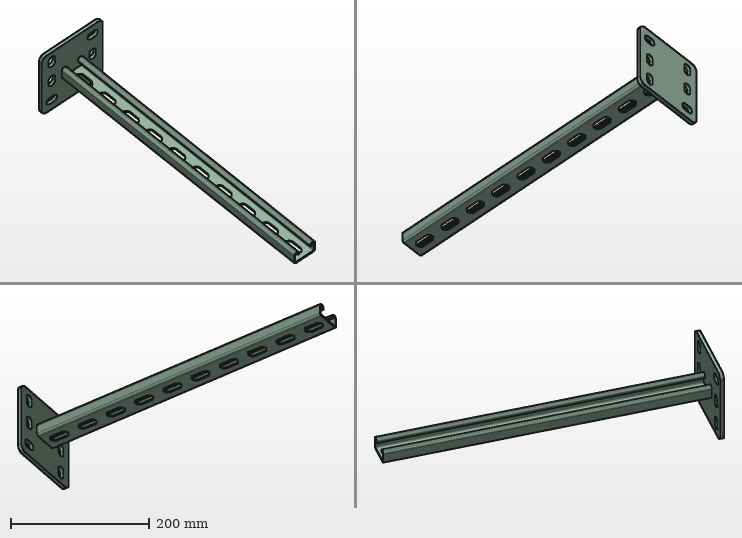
import cadquery as cq

total_length = 506.0

plate_side = 120.0
plate_thickness = 6.0
plate_corner_radius = 10.0
plate_slot_length = 20.0
plate_slot_width = 12.5
plate_slot_column_spacing = 80.0
plate_slot_row_spacing = 40.0

rail_length = total_length - plate_thickness
rail_width = 41.0
rail_bottom = -10.0
rail_top = 11.0
rail_sheet = 2.5
rail_bend_radius = 3.75
rail_opening = 22.0
lip_depth = 6.5

rail_slot_count = 10
rail_slot_pitch = rail_length / rail_slot_count
rail_slot_length = 30.0
rail_slot_width = 13.5


def make_plate():
    plate = (
        cq.Workplane("YZ")
        .rect(plate_side, plate_side)
        .extrude(plate_thickness)
        .edges("|X")
        .fillet(plate_corner_radius)
    )
    for side in (-1, 1):
        for row in (-1, 0, 1):
            angle = 0 if side * row == 1 else 90
            slot = (
                cq.Workplane("YZ")
                .center(side * plate_slot_column_spacing / 2, row * plate_slot_row_spacing)
                .slot2D(plate_slot_length, plate_slot_width, angle)
                .extrude(plate_thickness)
            )
            plate = plate.cut(slot)
    return plate


def make_rail_profile():
    """Trace the closed section of the folded sheet, with every bend still sharp."""
    half_width = rail_width / 2
    half_opening = rail_opening / 2
    lip_edge = rail_top - lip_depth
    outline = [
        (-half_opening, lip_edge),
        (-half_opening, rail_top),
        (-half_width, rail_top),
        (-half_width, rail_bottom),
        (half_width, rail_bottom),
        (half_width, rail_top),
        (half_opening, rail_top),
        (half_opening, lip_edge),
        (half_opening + rail_sheet, lip_edge),
        (half_opening + rail_sheet, rail_top - rail_sheet),
        (half_width - rail_sheet, rail_top - rail_sheet),
        (half_width - rail_sheet, rail_bottom + rail_sheet),
        (-half_width + rail_sheet, rail_bottom + rail_sheet),
        (-half_width + rail_sheet, rail_top - rail_sheet),
        (-half_opening - rail_sheet, rail_top - rail_sheet),
        (-half_opening - rail_sheet, lip_edge),
    ]
    return cq.Workplane("YZ", origin=(plate_thickness, 0, 0)).polyline(outline).close()


def round_bends(rail, corners, radius):
    """Fillet the lengthwise edges that pass through the given (y, z) corners."""
    mid_x = plate_thickness + rail_length / 2
    edges = []
    for y, z in corners:
        nearest = cq.selectors.NearestToPointSelector((mid_x, y, z))
        edges += rail.edges("|X").edges(nearest).vals()
    return rail.newObject(edges).fillet(radius)


def bend_corners(inset):
    """The six bend corners of the section, moved into the sheet by inset."""
    y_wall = rail_width / 2 - inset
    y_lip = rail_opening / 2 + inset
    z_top = rail_top - inset
    z_bottom = rail_bottom + inset
    corners = []
    for side in (-1, 1):
        corners += [(side * y_wall, z_top), (side * y_wall, z_bottom), (side * y_lip, z_top)]
    return corners


def make_rail():
    rail = make_rail_profile().extrude(rail_length)
    rail = round_bends(rail, bend_corners(0), rail_bend_radius)
    rail = round_bends(rail, bend_corners(rail_sheet), rail_bend_radius - rail_sheet)
    slots = (
        cq.Workplane("XY", origin=(plate_thickness + rail_length / 2, 0, rail_bottom))
        .rarray(rail_slot_pitch, 5, rail_slot_count, 1)
        .slot2D(rail_slot_length, rail_slot_width)
        .extrude(rail_sheet)
    )
    return rail.cut(slots)


plate = make_plate()
rail = make_rail()

result = cq.Compound.makeCompound([plate.val(), rail.val()])